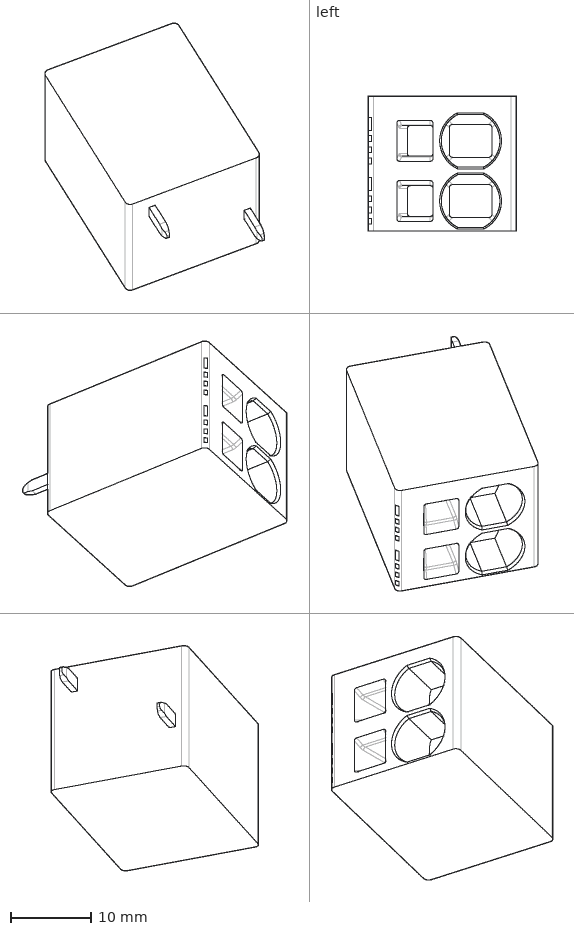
import cadquery as cq
import math

TOTAL_LENGTH = 28.75
PIN_REACH = 4.6
BODY_LENGTH = TOTAL_LENGTH - PIN_REACH
BODY_WIDTH = 18.5
BODY_HEIGHT = 16.8
CORNER_RADIUS = 0.7

POLE_PITCH = 7.5
FIRST_POLE_Z = 3.74
POLE_CENTRES = [FIRST_POLE_Z, FIRST_POLE_Z + POLE_PITCH]

WIRE_Y = -3.53
WIRE_DIAMETER = 7.3
WIRE_FLAT_HEIGHT = 6.56
WIRE_RIM = 0.2
WIRE_RIM_DEPTH = 0.45
WIRE_STRAIGHT_DEPTH = 6.0
FUNNEL_END_WIDTH = 5.3
FUNNEL_END_HEIGHT = 4.1
FUNNEL_CORNER = 0.4
FUNNEL_ANGLE = 30.0
FUNNEL_SPREAD = (WIRE_FLAT_HEIGHT - FUNNEL_END_HEIGHT) / 2
FUNNEL_DEPTH = FUNNEL_SPREAD / math.tan(math.radians(FUNNEL_ANGLE))
WIRE_END_DEPTH = WIRE_STRAIGHT_DEPTH + FUNNEL_DEPTH

POCKET_INNER_Y = 1.15
POCKET_WIDTH = 4.5
POCKET_HEIGHT = 5.1
POCKET_CORNER = 0.35
POCKET_MOUTH_DEPTH = 1.28
POCKET_MOUTH_BLEND = 0.9
POCKET_THROAT_HEIGHT = 3.82
POCKET_DEPTH = 5.4
POCKET_END_WIDTH = 3.2

MARK_CHAMFER = 0.47
LONG_MARK = 1.6
SHORT_MARK = 0.72
LONG_MARK_OFFSET = 2.11
FIRST_SHORT_OFFSET = 0.29
SHORT_MARK_PITCH = 1.4
SHORT_MARK_COUNT = 3

PIN_HEIGHT = 1.75
PIN_THICKNESS = 0.84
PIN_RISE = 2.81
PIN_SIDES_Y = [7.32, -5.85]
PIN_EDGE_TAPER_START = 3.0
PIN_FACE_TAPER_START = 3.65
PIN_ROUND_START = 4.2
PIN_SHOULDER_HEIGHT = 1.12
PIN_TIP_HEIGHT = 0.35
PIN_ROUND_BULGE = 0.06
PIN_TIP_THICKNESS = 0.35


def flatted_circle(plane, diameter, height, centre_z):
    """Add a circle with a flat above and below its centre; the plane's axes are Y and Z."""
    radius = diameter / 2
    half_height = height / 2
    half_flat = math.sqrt(radius**2 - half_height**2)
    return (
        plane.moveTo(WIRE_Y - half_flat, centre_z - half_height)
        .lineTo(WIRE_Y + half_flat, centre_z - half_height)
        .threePointArc((WIRE_Y + radius, centre_z), (WIRE_Y + half_flat, centre_z + half_height))
        .lineTo(WIRE_Y - half_flat, centre_z + half_height)
        .threePointArc((WIRE_Y - radius, centre_z), (WIRE_Y - half_flat, centre_z - half_height))
        .close()
    )


def funnel_section(spread, centre_z, depth):
    """Section of the funnel, grown by a spread on every side of its end rectangle."""
    width = FUNNEL_END_WIDTH + 2 * spread
    height = FUNNEL_END_HEIGHT + 2 * spread
    sketch = cq.Sketch().rect(width, height).vertices().fillet(FUNNEL_CORNER)
    return sketch.moved(cq.Location(cq.Vector(WIRE_Y, centre_z, depth)))


def make_body():
    block = cq.Workplane("XY").box(BODY_LENGTH, BODY_WIDTH, BODY_HEIGHT, centered=(False, True, False))
    return block.edges("|Z").fillet(CORNER_RADIUS)


def make_bore(centre_z, depth):
    return flatted_circle(cq.Workplane("YZ"), WIRE_DIAMETER, WIRE_FLAT_HEIGHT, centre_z).extrude(depth)


def make_wire_entry(centre_z):
    rim_diameter = WIRE_DIAMETER + 2 * WIRE_RIM
    rim_height = WIRE_FLAT_HEIGHT + 2 * WIRE_RIM
    rim_outline = flatted_circle(cq.Workplane("YZ"), rim_diameter, rim_height, centre_z)
    rim_end = rim_outline.workplane(offset=WIRE_RIM_DEPTH, origin=(0, 0, 0))
    rim = flatted_circle(rim_end, WIRE_DIAMETER, WIRE_FLAT_HEIGHT, centre_z).loft(ruled=True)

    straight = make_bore(centre_z, WIRE_STRAIGHT_DEPTH)

    mouth = funnel_section(FUNNEL_SPREAD, centre_z, WIRE_STRAIGHT_DEPTH)
    end = funnel_section(0, centre_z, WIRE_END_DEPTH)
    funnel = cq.Workplane("YZ").placeSketch(mouth, end).loft(ruled=True)
    clipped_funnel = funnel.intersect(make_bore(centre_z, WIRE_END_DEPTH))
    return straight.union(rim).union(clipped_funnel)


def make_release_pocket(centre_z):
    """Pocket whose floor and roof close in to a throat while its outer side slopes inwards."""
    half_mouth = POCKET_HEIGHT / 2
    half_throat = POCKET_THROAT_HEIGHT / 2
    side = (
        cq.Workplane("XZ", origin=(0, POCKET_INNER_Y, centre_z))
        .moveTo(0, -half_mouth)
        .lineTo(POCKET_MOUTH_DEPTH, -half_throat)
        .lineTo(POCKET_DEPTH, -half_throat)
        .lineTo(POCKET_DEPTH, half_throat)
        .lineTo(POCKET_MOUTH_DEPTH, half_throat)
        .lineTo(0, half_mouth)
        .close()
        .extrude(-POCKET_WIDTH)
    )
    side = side.edges("|Y and (not <X) and (not >X)").fillet(POCKET_MOUTH_BLEND)

    plan = (
        cq.Workplane("XY")
        .moveTo(0, POCKET_INNER_Y)
        .lineTo(0, POCKET_INNER_Y + POCKET_WIDTH)
        .lineTo(POCKET_DEPTH, POCKET_INNER_Y + POCKET_END_WIDTH)
        .lineTo(POCKET_DEPTH, POCKET_INNER_Y)
        .close()
        .extrude(BODY_HEIGHT)
    )
    pocket = side.intersect(plan)
    return pocket.edges("not(<X or >X or |Y)").fillet(POCKET_CORNER)


def make_mark(length, centre_z):
    """Triangular prism that planes a 45 degree flat across the rounded entry corner."""
    corner_y = BODY_WIDTH / 2
    return (
        cq.Workplane("XY", origin=(0, corner_y, centre_z - length / 2))
        .lineTo(MARK_CHAMFER, 0)
        .lineTo(0, -MARK_CHAMFER)
        .close()
        .extrude(length)
    )


def make_marks(pole_z):
    marks = make_mark(LONG_MARK, pole_z + LONG_MARK_OFFSET)
    for index in range(SHORT_MARK_COUNT):
        offset = FIRST_SHORT_OFFSET - index * SHORT_MARK_PITCH
        marks = marks.union(make_mark(SHORT_MARK, pole_z + offset))
    return marks


def make_pin(centre_y, centre_z):
    """Flat pin: a round-tipped side outline, thinned by a tapered plan outline."""
    arc_x = (PIN_ROUND_START + PIN_REACH) / 2 + PIN_ROUND_BULGE
    arc_z = (PIN_SHOULDER_HEIGHT + PIN_TIP_HEIGHT) / 4 + PIN_ROUND_BULGE
    side = (
        cq.Workplane("XZ")
        .moveTo(0, -PIN_HEIGHT / 2)
        .lineTo(PIN_EDGE_TAPER_START, -PIN_HEIGHT / 2)
        .lineTo(PIN_ROUND_START, -PIN_SHOULDER_HEIGHT / 2)
        .threePointArc((arc_x, -arc_z), (PIN_REACH, -PIN_TIP_HEIGHT / 2))
        .lineTo(PIN_REACH, PIN_TIP_HEIGHT / 2)
        .threePointArc((arc_x, arc_z), (PIN_ROUND_START, PIN_SHOULDER_HEIGHT / 2))
        .lineTo(PIN_EDGE_TAPER_START, PIN_HEIGHT / 2)
        .lineTo(0, PIN_HEIGHT / 2)
        .close()
        .extrude(PIN_THICKNESS / 2, both=True)
    )
    plan = (
        cq.Workplane("XY")
        .moveTo(0, -PIN_THICKNESS / 2)
        .lineTo(PIN_FACE_TAPER_START, -PIN_THICKNESS / 2)
        .lineTo(PIN_REACH, -PIN_TIP_THICKNESS / 2)
        .lineTo(PIN_REACH, PIN_TIP_THICKNESS / 2)
        .lineTo(PIN_FACE_TAPER_START, PIN_THICKNESS / 2)
        .lineTo(0, PIN_THICKNESS / 2)
        .close()
        .extrude(PIN_HEIGHT / 2, both=True)
    )
    return side.intersect(plan).translate((BODY_LENGTH, centre_y, centre_z))


result = make_body()
for pole_z, pin_y in zip(POLE_CENTRES, PIN_SIDES_Y):
    result = result.cut(make_wire_entry(pole_z))
    result = result.cut(make_release_pocket(pole_z))
    result = result.cut(make_marks(pole_z))
    result = result.union(make_pin(pin_y, pole_z + PIN_RISE))